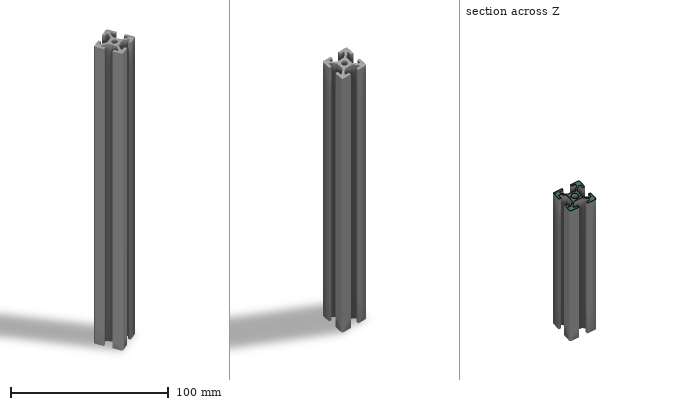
import cadquery as cq
import math

length = 235.0
width = 20.0
corner_radius = 1.0

slot_opening = 6.0
lip_thickness = 1.9
cavity_width = 12.0
core_width = 8.0
web_thickness = 1.5
bore_diameter = 4.2

groove_width = 1.5
groove_depth = 0.35

half_width = width / 2
half_core = core_width / 2
half_opening = slot_opening / 2
half_cavity = cavity_width / 2
lip_inner = half_width - lip_thickness
web_offset = web_thickness / math.sqrt(2)


def make_blank():
    """Square bar with rounded long edges."""
    bar = cq.Workplane("XY").rect(width, width).extrude(length)
    return bar.edges("|Z").fillet(corner_radius)


def make_slot():
    """T-slot on the +Y side: opening, cavity, web flanks and grooved floor."""
    right_half = [
        (groove_width / 2, half_core),
        (half_core - web_offset, half_core),
        (half_cavity, half_cavity + web_offset),
        (half_cavity, lip_inner),
        (half_opening, lip_inner),
        (half_opening, half_width),
    ]
    left_half = [(-x, y) for x, y in reversed(right_half)]
    groove_bottom = (0, half_core - groove_depth)
    outline = [groove_bottom] + right_half + left_half
    return cq.Workplane("XY").polyline(outline).close().extrude(length)


def make_bore():
    """Round hole along the whole bar."""
    return cq.Workplane("XY").circle(bore_diameter / 2).extrude(length)


result = make_blank().cut(make_bore())
slot = make_slot()
for angle in (0, 90, 180, 270):
    result = result.cut(slot.rotate((0, 0, 0), (0, 0, 1), angle))